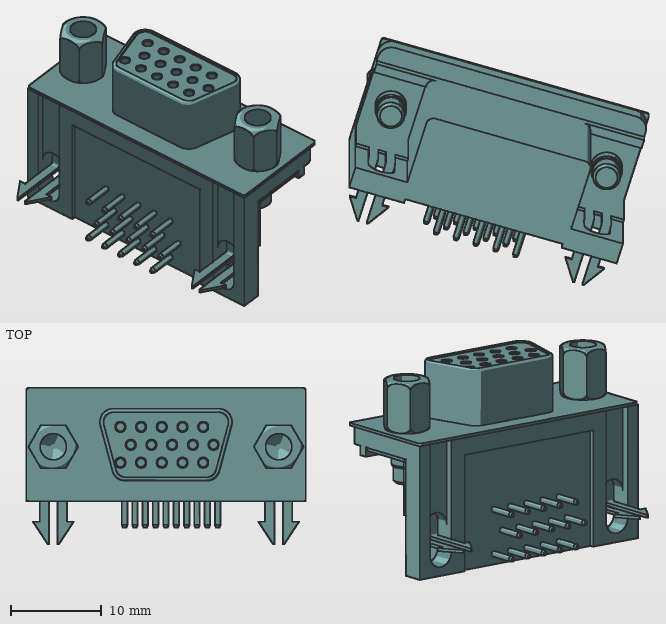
import cadquery as cq
import math


WIDTH = 30.8
DEPTH = 12.5
PLATE_TOP = 15.45
PLATE_THICKNESS = 0.3
PLATE_CORNER_RADIUS = 0.3
HOUSING_TOP = PLATE_TOP - PLATE_THICKNESS

FLANGE_BOTTOM = 13.2
FLANGE_CORNER_RADIUS = 1.55
WALL_THICKNESS = 2.43
CORE_HALF_WIDTH = 9.42
CORE_BACK = 10.47
CORE_CORNER_RADIUS = 0.8
RIDGE_FRONT = 9.5
RIDGE_BOTTOM = 12.15
PANEL_HALF_WIDTH = 9.05
PANEL_DEPTH = 0.45

CHANNEL_WIDTH = 3.02
CHANNEL_DEPTH = 0.85
SLOT_BOTTOM = 1.02
SLOT_TOP = 7.0

COLUMNS = 5
PITCH = 2.28
PIN_DIAMETER = 0.65
PIN_REACH = 2.9
PIN_TIP_LENGTH = 0.3
PIN_TIP_INSET = 0.12
PIN_MIDDLE_ROW_Z = 3.73
PIN_ROW_SPACING = 2.53

SHROUD_TOP = 21.9
SHROUD_FRONT = 2.25
SHROUD_BACK = 10.2
SHROUD_BACK_HALF_WIDTH = 7.73
SHROUD_SIDE_ANGLE = 15.0
SHROUD_CORNER_RADIUS = 1.48
SHROUD_WALL = 0.4
SHROUD_RIM_RADIUS = 0.3

INSERT_RECESS = 0.2
HOLE_DIAMETER = 0.95
HOLE_DEPTH = 4.62
COUNTERSINK_DIAMETER = 1.17
COUNTERSINK_ANGLE = 90.0
HOLE_ROW_SPACING = 1.97
HOLE_PATTERN_X = -0.45

SCREW_X = (WIDTH / 2 + CORE_HALF_WIDTH) / 2
SCREW_Y = 6.0
HEX_SIDES = 6
HEX_TOP = 21.28
HEX_ACROSS_FLATS = 4.75
HEX_END_ROUNDING = 0.8
BORE_DIAMETER = 2.9
BORE_DEPTH = 4.3
DRILL_POINT_ANGLE = 118.0
SHANK_DIAMETER = 3.45
SHANK_BOTTOM = 11.4
SHANK_CHAMFER_LENGTH = 0.25
SHANK_CHAMFER_INSET = 0.12
TAIL_DIAMETER = 3.02
TAIL_BOTTOM = 9.5
TAIL_CHAMFER = 0.3

SHEET = 0.35
CLIP_INNER_BEND = 0.25
CLIP_OUTER_BEND = CLIP_INNER_BEND + SHEET
CLIP_CORNER_RADIUS = 0.43
CLIP_SPLIT_TOP = 6.85
CLIP_HALF_GAP = 0.45
ARM_BOTTOM = 3.6
BARB_Y = -2.25
BARB_HALF_WIDTH = 2.25
BARB_TIP_Y = -4.75
BARB_TIP_WIDTH = 0.15


def block(x0, x1, y0, y1, z0, z1):
    """A box between opposite corners."""
    return cq.Workplane("XY").box(x1 - x0, y1 - y0, z1 - z0, centered=False).translate((x0, y0, z0))


def cylinder(x, y, diameter, z0, z1):
    """An upright cylinder."""
    return cq.Workplane("XY", origin=(x, y, z0)).circle(diameter / 2).extrude(z1 - z0)


def staggered_grid(row_spacing):
    """Three rows of five points about the outer rows' centre, the middle row shifted half a pitch."""
    points = []
    for row in (-1, 0, 1):
        shift = PITCH / 2 if row == 0 else 0
        for column in range(COLUMNS):
            points.append(((column - (COLUMNS - 1) / 2) * PITCH + shift, row * row_spacing))
    return points


def front_channel(x):
    """Shallow channel down the wall face, ending in a round-ended slot through the wall."""
    radius = CHANNEL_WIDTH / 2
    slot_middle = (SLOT_BOTTOM + SLOT_TOP) / 2
    channel = block(x - radius, x + radius, 0, CHANNEL_DEPTH, slot_middle, HOUSING_TOP)
    slot = (
        cq.Workplane("XZ", origin=(x, 0, slot_middle))
        .slot2D(SLOT_TOP - SLOT_BOTTOM, CHANNEL_WIDTH, 90)
        .extrude(-WALL_THICKNESS)
    )
    return channel.union(slot)


def solder_pin(x, z):
    """Round pin from the recessed panel toward -Y, with a tapered tip."""
    radius = PIN_DIAMETER / 2
    tip_radius = radius - PIN_TIP_INSET
    return (
        cq.Workplane("XY")
        .moveTo(0, PANEL_DEPTH)
        .lineTo(radius, PANEL_DEPTH)
        .lineTo(radius, PIN_TIP_LENGTH - PIN_REACH)
        .lineTo(tip_radius, -PIN_REACH)
        .lineTo(0, -PIN_REACH)
        .close()
        .revolve(360, (0, 0), (0, 1))
        .translate((x, 0, z))
    )


def d_prism(inset, z0, z1):
    """Upright prism on the shroud's D outline, moved inward by the inset."""
    taper = (SHROUD_BACK - SHROUD_FRONT) * math.tan(math.radians(SHROUD_SIDE_ANGLE))
    front_half_width = SHROUD_BACK_HALF_WIDTH - taper
    outline = (
        cq.Workplane("XY", origin=(0, 0, z0))
        .polyline([
            (-front_half_width, SHROUD_FRONT),
            (front_half_width, SHROUD_FRONT),
            (SHROUD_BACK_HALF_WIDTH, SHROUD_BACK),
            (-SHROUD_BACK_HALF_WIDTH, SHROUD_BACK),
        ])
        .close()
    )
    if inset > 0:
        outline = outline.offset2D(-inset, "intersection")
    return outline.extrude(z1 - z0).edges("|Z").fillet(SHROUD_CORNER_RADIUS - inset)


def make_insert():
    """Contact insert filling the shroud, with a countersunk blind hole for each contact."""
    face_z = SHROUD_TOP - INSERT_RECESS
    return (
        d_prism(SHROUD_WALL, HOUSING_TOP, face_z)
        .faces(">Z")
        .workplane(origin=(HOLE_PATTERN_X, (SHROUD_FRONT + SHROUD_BACK) / 2, face_z))
        .pushPoints(staggered_grid(HOLE_ROW_SPACING))
        .cskHole(HOLE_DIAMETER, COUNTERSINK_DIAMETER, COUNTERSINK_ANGLE, HOLE_DEPTH)
    )


def make_housing():
    """Flange, front wall, core and contact insert in one piece, carrying the solder pins."""
    half = WIDTH / 2
    flange = block(-half, half, 0, DEPTH, FLANGE_BOTTOM, HOUSING_TOP)
    flange = flange.edges("|Z and >Y").fillet(FLANGE_CORNER_RADIUS)
    wall = block(-half, half, 0, WALL_THICKNESS, 0, HOUSING_TOP)
    core = block(-CORE_HALF_WIDTH, CORE_HALF_WIDTH, 0, CORE_BACK, 0, HOUSING_TOP)
    core = core.edges("|Z and >Y").fillet(CORE_CORNER_RADIUS)
    ridge = block(-half, half, RIDGE_FRONT, CORE_BACK, RIDGE_BOTTOM, FLANGE_BOTTOM)
    panel = block(-PANEL_HALF_WIDTH, PANEL_HALF_WIDTH, 0, PANEL_DEPTH, 0, FLANGE_BOTTOM)
    housing = flange.union(wall).union(core).union(ridge).union(make_insert()).cut(panel)
    for x in (-SCREW_X, SCREW_X):
        housing = housing.cut(front_channel(x))
        housing = housing.cut(cylinder(x, SCREW_Y, SHANK_DIAMETER, FLANGE_BOTTOM, HOUSING_TOP))
    for x, z in staggered_grid(PIN_ROW_SPACING):
        housing = housing.union(solder_pin(x, PIN_MIDDLE_ROW_Z + z))
    return housing


def make_shroud():
    """Cover plate and thin D-shaped wall around the contact insert."""
    plate = block(-WIDTH / 2, WIDTH / 2, 0, DEPTH, HOUSING_TOP, PLATE_TOP)
    plate = plate.edges("|Z").fillet(PLATE_CORNER_RADIUS)
    outside = d_prism(0, PLATE_TOP, SHROUD_TOP).faces(">Z").edges().fillet(SHROUD_RIM_RADIUS)
    shroud = plate.union(outside).cut(d_prism(SHROUD_WALL, HOUSING_TOP, SHROUD_TOP))
    for x in (-SCREW_X, SCREW_X):
        shroud = shroud.cut(cylinder(x, SCREW_Y, SHANK_DIAMETER, HOUSING_TOP, PLATE_TOP))
    return shroud


def make_jackscrew(x):
    """Hexagonal standoff with a drilled bore, standing on a stepped shank."""
    height = HEX_TOP - PLATE_TOP
    corner_radius = HEX_ACROSS_FLATS / 2 / math.cos(math.pi / HEX_SIDES)
    hexagon = cq.Workplane("XY").polygon(HEX_SIDES, 2 * corner_radius).extrude(height)
    rounded_envelope = cylinder(0, 0, 2 * corner_radius, 0, height).edges().fillet(HEX_END_ROUNDING)
    bore_radius = BORE_DIAMETER / 2
    point_length = bore_radius / math.tan(math.radians(DRILL_POINT_ANGLE / 2))
    bore_floor = height - BORE_DEPTH
    bore = (
        cq.Workplane("XZ")
        .polyline([
            (0, bore_floor - point_length),
            (bore_radius, bore_floor),
            (bore_radius, height),
            (0, height),
        ])
        .close()
        .revolve(360, (0, 0), (0, 1))
    )
    shank_radius = SHANK_DIAMETER / 2
    tail_radius = TAIL_DIAMETER / 2
    plate_to_step = SHANK_BOTTOM - PLATE_TOP
    plate_to_end = TAIL_BOTTOM - PLATE_TOP
    shank = (
        cq.Workplane("XZ")
        .polyline([
            (0, 0),
            (shank_radius, 0),
            (shank_radius, plate_to_step + SHANK_CHAMFER_LENGTH),
            (shank_radius - SHANK_CHAMFER_INSET, plate_to_step),
            (tail_radius, plate_to_step),
            (tail_radius, plate_to_end + TAIL_CHAMFER),
            (tail_radius - TAIL_CHAMFER, plate_to_end),
            (0, plate_to_end),
        ])
        .close()
        .revolve(360, (0, 0), (0, 1))
    )
    jackscrew = hexagon.intersect(rounded_envelope).union(shank).cut(bore)
    return jackscrew.translate((x, SCREW_Y, PLATE_TOP))


def nearest(x, y, z):
    """Selects the edge whose centre lies nearest to a point."""
    return cq.selectors.NearestToPointSelector((x, y, z))


def clip_arm(x, side):
    """Flat barbed arm through the slot, on the given side of the clip's middle."""
    return (
        cq.Workplane("XY", origin=(x, 0, ARM_BOTTOM))
        .polyline([
            (side * CLIP_HALF_GAP, WALL_THICKNESS + SHEET),
            (side * CHANNEL_WIDTH / 2, WALL_THICKNESS + SHEET),
            (side * CHANNEL_WIDTH / 2, BARB_Y),
            (side * BARB_HALF_WIDTH, BARB_Y),
            (side * (CLIP_HALF_GAP + BARB_TIP_WIDTH), BARB_TIP_Y),
            (side * CLIP_HALF_GAP, BARB_TIP_Y),
        ])
        .close()
        .extrude(SHEET)
    )


def make_clip(x):
    """Board lock: a leg under the flange, a web behind the wall and two barbed arms."""
    half_width = WIDTH / 2 - SCREW_X
    web_front = WALL_THICKNESS
    web_back = WALL_THICKNESS + SHEET
    leg_bottom = FLANGE_BOTTOM - SHEET
    leg = block(x - half_width, x + half_width, web_front, RIDGE_FRONT, leg_bottom, FLANGE_BOTTOM)
    leg = leg.edges("|Z and >Y").fillet(CLIP_CORNER_RADIUS)
    web = block(x - half_width, x + half_width, web_front, web_back, CLIP_SPLIT_TOP, FLANGE_BOTTOM)
    upper = leg.union(web)
    upper = upper.edges(nearest(x, web_back, leg_bottom)).fillet(CLIP_INNER_BEND)
    upper = upper.edges(nearest(x, web_front, FLANGE_BOTTOM)).fillet(CLIP_OUTER_BEND)
    clip = upper.cut(cylinder(x, SCREW_Y, SHANK_DIAMETER, leg_bottom, FLANGE_BOTTOM))
    for side in (-1, 1):
        inner, outer = sorted((side * CLIP_HALF_GAP, side * CHANNEL_WIDTH / 2))
        strip = block(x + inner, x + outer, web_front, web_back, ARM_BOTTOM, CLIP_SPLIT_TOP)
        strip = strip.union(clip_arm(x, side))
        strip = strip.edges("|X and >Y and <Z").fillet(CLIP_OUTER_BEND)
        bend = nearest(x + (inner + outer) / 2, web_front, ARM_BOTTOM + SHEET)
        clip = clip.union(strip.edges(bend).fillet(CLIP_INNER_BEND))
    return clip


housing = make_housing()
shroud = make_shroud()
jackscrews = [make_jackscrew(x) for x in (-SCREW_X, SCREW_X)]
clips = [make_clip(x) for x in (-SCREW_X, SCREW_X)]

result = cq.Compound.makeCompound([
    housing.val(),
    shroud.val(),
    *[jackscrew.val() for jackscrew in jackscrews],
    *[clip.val() for clip in clips],
])